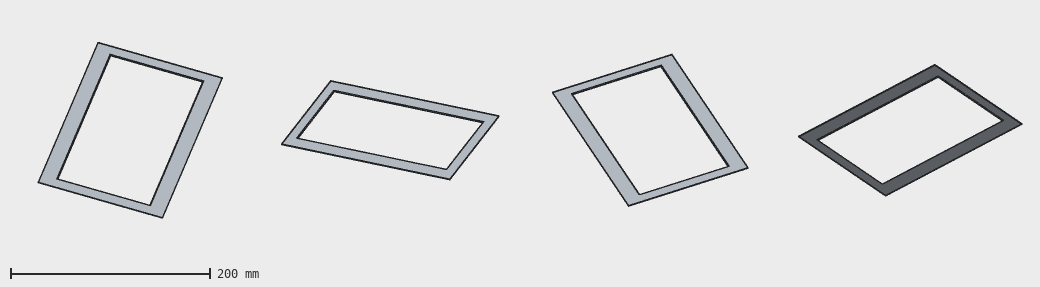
import cadquery as cq

width = 132.0
length = 182
thickness = 1.0

side_border = 16.2
end_border = 9.8
bevel_run = thickness

top_window_width = width - 2 * side_border
top_window_length = length - 2 * end_border
bottom_window_width = top_window_width - 2 * bevel_run
bottom_window_length = top_window_length - 2 * bevel_run

plate = cq.Workplane("XY").box(width, length, thickness, centered=(True, True, False))

window = (
    cq.Workplane("XY")
    .rect(bottom_window_width, bottom_window_length)
    .workplane(offset=thickness)
    .rect(top_window_width, top_window_length)
    .loft(ruled=True)
)

result = plate.cut(window)